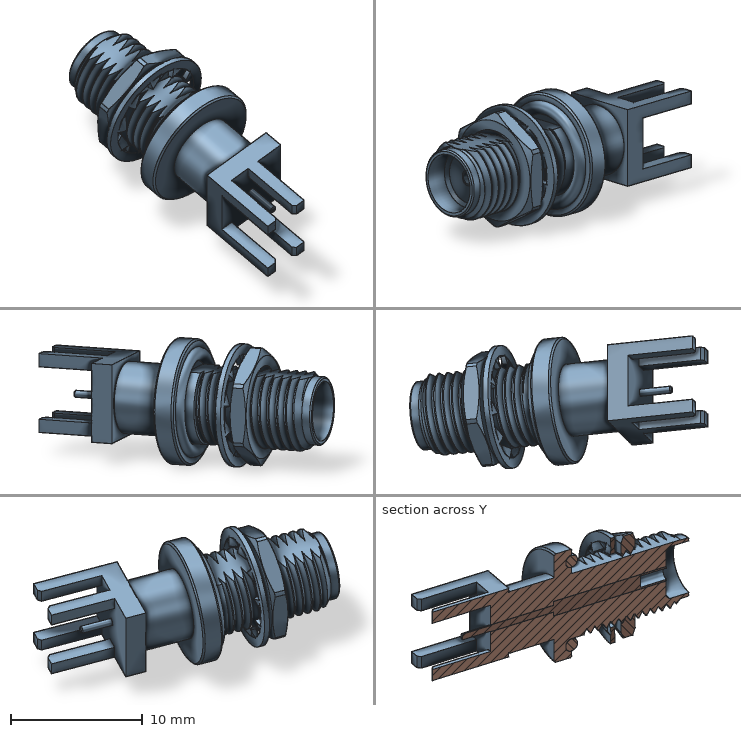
import cadquery as cq
import math


overall_length = 22.73
sleeve_radius = 2.61
sleeve_edge_chamfer = 0.11
thread_start = 0.75
thread_end = 9.27
thread_radius = 3.15
thread_root_radius = 2.68
thread_pitch = 0.7
flat_height = 2.64
thread_crest_width = 0.1
thread_phase = 0.6
flange_start = 10.36
flange_end = 11.95
flange_radius = 4.82
flange_chamfer = 0.14
barrel_radius = 2.75
barrel_chamfer = 0.1
block_start = 15.95
block_thickness = 1.64
block_width = 6.1
block_end = block_start + block_thickness

leg_thickness = 1.02
slot_width = 1.7
leg_chamfer = 0.25

bore_radius = 2.27
bore_floor_radius = 2.0
bore_floor = 2.0
bore_cone_length = bore_radius - bore_floor_radius

contact_radius = 0.61
contact_socket_radius = 0.48
contact_socket_depth = 2.27
contact_end = flange_end
tail_radius = 0.27
tail_end = 20.1
tail_chamfer = 0.1

o_ring_section_radius = 0.52
o_ring_clearance = 0.02
o_ring_centre_radius = thread_radius + o_ring_clearance + o_ring_section_radius

nut_start = 4.75
nut_thickness = 1.3
nut_across_flats = 8.0
nut_corner_radius = 4.52
nut_face_radius = 3.93
nut_chamfer_length = 0.23

washer_start = 6.55
washer_thickness = 0.4
washer_radius = 4.68
washer_inner_radius = 3.9
washer_end = washer_start + washer_thickness
washer_mid = (washer_start + washer_end) / 2
tooth_count = 10
tooth_width = 1.23
tooth_tip_radius = 3.23
tooth_twist = 22.0
tooth_root_overlap = 0.14
tooth_root_thickness = 0.36


def cylinder(start, end, radius):
    return cq.Workplane("YZ").workplane(offset=start).circle(radius).extrude(end - start)


def turned(points):
    """Revolve an outline of (station, radius) points about the X axis."""
    return cq.Workplane("XY").polyline(points).close().revolve(360, (0, 0, 0), (1, 0, 0))


def thread_groove():
    """Right-handed helical V groove, longer than the threaded shank at both ends."""
    overshoot = 0.035
    depth = thread_radius - thread_root_radius
    flank_slope = (thread_pitch - thread_crest_width) / 2 / depth
    half_width = flank_slope * (depth + overshoot)
    outer_radius = thread_radius + overshoot
    first_turn = thread_phase - thread_pitch
    turns = math.ceil((thread_end - first_turn) / thread_pitch) + 1
    groove_length = turns * thread_pitch

    corners = [
        cq.Vector(thread_root_radius, 0, 0),
        cq.Vector(outer_radius, 0, half_width),
        cq.Vector(outer_radius, 0, -half_width),
    ]
    edges = [
        cq.Wire.makeHelix(thread_pitch, groove_length, corner.x).translate(cq.Vector(0, 0, corner.z))
        for corner in corners
    ]
    faces = [cq.Face.makeRuledSurface(edges[i], edges[i - 1]) for i in range(3)]
    start_cap = cq.Face.makeFromWires(cq.Wire.makePolygon(corners, close=True))
    end_cap = start_cap.translate(cq.Vector(0, 0, groove_length))
    groove = cq.Solid.makeSolid(cq.Shell.makeShell([*faces, start_cap, end_cap]))
    return cq.Workplane(obj=groove).rotate((0, 0, 0), (0, 1, 0), 90).translate((first_turn, 0, 0))


def make_thread():
    """Complete round thread with a 45 degree lead-in."""
    lead_in = thread_radius - sleeve_radius
    blank = turned([
        (thread_start, 0),
        (thread_start, sleeve_radius),
        (thread_start + lead_in, thread_radius),
        (thread_end, thread_radius),
        (thread_end, 0),
    ])
    return blank.cut(thread_groove())


def make_tail_block():
    """Square block with four legs at its back, chamfered on the sides facing the slot."""
    half = block_width / 2
    block = cq.Workplane("YZ").workplane(offset=block_start).rect(block_width, block_width)
    block = block.extrude(block_thickness)
    lower_leg_inner = -half + leg_thickness
    upper_leg_inner = lower_leg_inner + slot_width
    for inner_y, outward in ((lower_leg_inner, -1), (upper_leg_inner, 1)):
        outer_y = inner_y + outward * leg_thickness
        outline = [
            (block_end, outer_y),
            (overall_length, outer_y),
            (overall_length, inner_y + outward * leg_chamfer),
            (overall_length - leg_chamfer, inner_y),
            (block_end, inner_y),
        ]
        for bottom in (-half, half - leg_thickness):
            leg = cq.Workplane("XY").workplane(offset=bottom).polyline(outline).close()
            block = block.union(leg.extrude(leg_thickness))
    return block


def make_o_ring():
    return (
        cq.Workplane("XY")
        .center(flange_start, o_ring_centre_radius)
        .circle(o_ring_section_radius)
        .revolve(360, (0, -o_ring_centre_radius, 0), (1, -o_ring_centre_radius, 0))
    )


def make_pin():
    pin = cylinder(bore_floor, contact_end, contact_radius)
    tail = cylinder(contact_end, tail_end, tail_radius).faces(">X").chamfer(tail_chamfer)
    socket = cylinder(bore_floor, bore_floor + contact_socket_depth, contact_socket_radius)
    return pin.union(tail).cut(socket)


def make_housing(thread, o_ring):
    flat_length = flange_start - thread_start
    flat = cq.Workplane("XY").workplane(offset=flat_height)
    flat = flat.center(thread_start + flat_length / 2, 0).rect(flat_length, 2 * thread_radius)
    flat = flat.extrude(thread_radius)
    collar = cylinder(thread_end, flange_start, thread_radius).cut(flat)
    sleeve = cylinder(0, thread_start, sleeve_radius).faces("<X").chamfer(sleeve_edge_chamfer)
    shank = thread.cut(flat).union(collar).union(sleeve)

    flange = cylinder(flange_start, flange_end, flange_radius).edges().chamfer(flange_chamfer)
    barrel = cylinder(flange_end, block_start, barrel_radius).faces(">X").chamfer(barrel_chamfer)
    bore = turned([
        (0, 0),
        (0, bore_radius),
        (bore_floor - bore_cone_length, bore_radius),
        (bore_floor, bore_floor_radius),
        (bore_floor, 0),
    ])
    contact_hole = cylinder(bore_floor, contact_end, contact_radius)
    tail_hole = cylinder(contact_end, block_end, tail_radius)
    housing = shank.union(flange).union(barrel).union(make_tail_block())
    return housing.cut(bore).cut(contact_hole).cut(tail_hole).cut(o_ring)


def make_nut(thread):
    """Hex nut with corners on the Z axis, both faces chamfered, threaded to suit the shank."""
    nut_end = nut_start + nut_thickness
    across_corners = nut_across_flats / math.cos(math.pi / 6)
    hexagon = cq.Workplane("YZ").workplane(offset=nut_start).polygon(6, across_corners)
    hexagon = hexagon.extrude(nut_thickness).rotate((0, 0, 0), (1, 0, 0), 90)
    envelope = turned([
        (nut_start, 0),
        (nut_start, nut_face_radius),
        (nut_start + nut_chamfer_length, nut_corner_radius),
        (nut_end - nut_chamfer_length, nut_corner_radius),
        (nut_end, nut_face_radius),
        (nut_end, 0),
    ])
    return hexagon.intersect(envelope).cut(thread)


def make_tooth():
    """Tooth pointing inward from the ring on the +Z side, twisting toward its tip."""
    root_radius = washer_inner_radius + tooth_root_overlap
    return (
        cq.Workplane("XY", origin=(washer_mid, 0, root_radius))
        .rect(tooth_root_thickness, tooth_width)
        .workplane(offset=tooth_tip_radius - root_radius)
        .transformed(rotate=(0, 0, tooth_twist))
        .rect(washer_thickness, tooth_width)
        .loft(ruled=True)
    )


def make_washer():
    washer = cylinder(washer_start, washer_end, washer_radius)
    washer = washer.cut(cylinder(washer_start, washer_end, washer_inner_radius))
    tooth = make_tooth()
    for index in range(tooth_count):
        angle = index * 360 / tooth_count
        washer = washer.union(tooth.rotate((0, 0, 0), (1, 0, 0), angle))
    return washer


thread = make_thread()
o_ring = make_o_ring()
housing = make_housing(thread, o_ring)
nut = make_nut(thread)
washer = make_washer()
pin = make_pin()

result = cq.Compound.makeCompound([
    housing.val(),
    nut.val(),
    washer.val(),
    o_ring.val(),
    pin.val(),
])